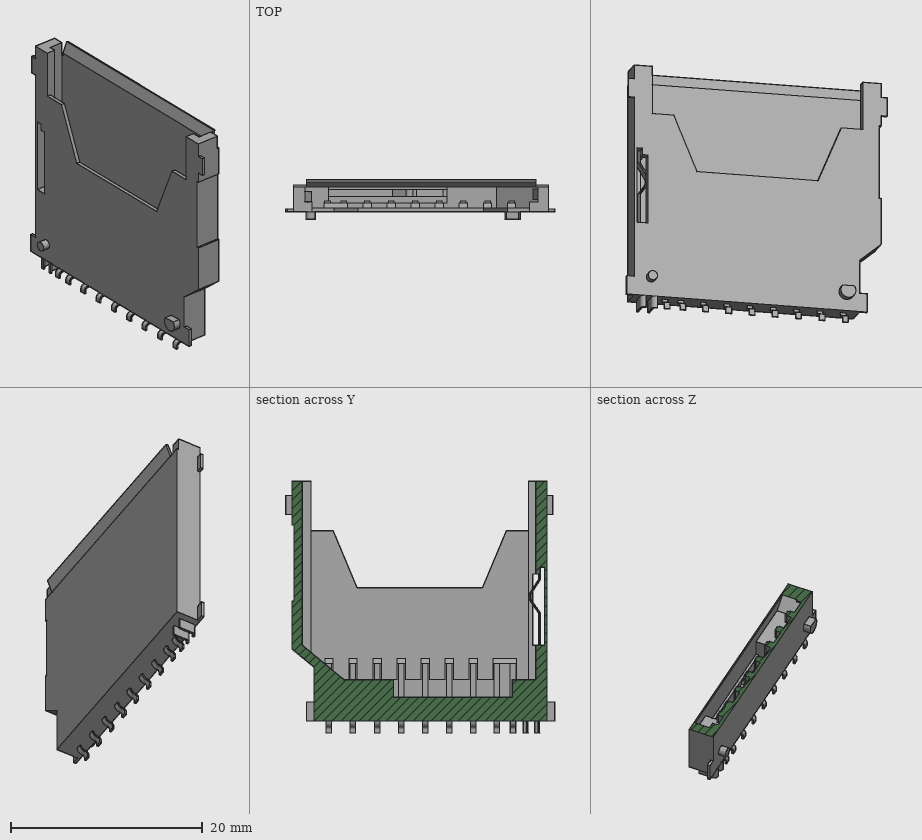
import cadquery as cq


HEIGHT = 25.0
WIDTH = 26.6
HOUSING_DEPTH = 2.6
LID_THICKNESS = 0.2
LID_TOP = 23.5
DEPTH = HOUSING_DEPTH + LID_THICKNESS
LOWER_WIDTH = 24.3
CORNER_BOTTOM = 5.6
CORNER_TOP = 7.5
SIDE_NOTCH_DEPTH = 0.2
SIDE_NOTCH_BOTTOM = 12.5
SIDE_NOTCH_TOP = 20.4

TAB_THICKNESS = 0.3
TAB_HEIGHT = 2.0
UPPER_TAB_BOTTOM = 21.5
LOWER_TAB_LEFT = -0.8
LOWER_TAB_RIGHT = 25.1
UPPER_TAB_LEFT = -0.6
UPPER_TAB_RIGHT = 27.25

FLOOR = 0.4
RAIL_TOP = 1.0
CAVITY_LEFT = 1.2
CAVITY_RIGHT = 25.5
RAIL_LEFT = 1.95
RAIL_RIGHT = 24.6
CAVITY_BOTTOM = 4.3
CAVITY_CORNER_LEFT = 21.15
CORNER_SLOPE = (CORNER_TOP - CORNER_BOTTOM) / (WIDTH - LOWER_WIDTH)

WINDOW_SHOULDER = 19.85
WINDOW_BOTTOM = 13.9
WINDOW_CENTER = (RAIL_LEFT + RAIL_RIGHT) / 2
WINDOW_UPPER_WIDTH = 18.05
WINDOW_LOWER_WIDTH = 13.05

LIP_LEFT = 1.35
LIP_RIGHT = 25.3
LIP_INNER_START = 23.8
LIP_INNER_END = 3.1
LIP_OUTER_END = 3.35
LIP_OUTER_TOP = 24.9

SLOT_LEFT = 0.3
SLOT_RIGHT = 1.5
SLOT_STEP_X = 0.9
SLOT_BOTTOM = 7.9
SLOT_STEP_Z = 15.3
SLOT_TOP = 16.0
SLOT_DEPTH = 2.1
SPRING_DEPTH = 1.05
SPRING_THICKNESS = 0.2
SPRING_BACK = SLOT_STEP_X - SPRING_THICKNESS
SPRING_CREST = 1.9
SPRING_CREST_BOTTOM = 12.7
SPRING_CREST_TOP = 13.2
SPRING_BEND_BOTTOM = 11.25
SPRING_BEND_TOP = 14.75

DETECT_CREST = 24.95
DETECT_NEAR = 1.3
DETECT_FAR = 2.35
DETECT_BOTTOM = 14.0
DETECT_CREST_Z = 16.0
DETECT_TOP = 18.0

RECESS_LEFT = 3.65
RECESS_RIGHT = 16.0
RECESS_NEAR = 0.9
RECESS_BOTTOM = 2.5
GROOVE_NEAR = 1.6
GROOVE_FAR = 2.3
GROOVE_BOTTOM = 1.0
RIDGE_FOOT_LEFT = 10.35
RIDGE_ARC_LEFT = 11.75
RIDGE_ARC_RIGHT = 12.45
RIDGE_FLAT_RIGHT = 12.85
RIDGE_FOOT_RIGHT = 15.6
RIDGE_SHOULDER = 2.0
RIDGE_CREST = 2.2

CONTACT_CENTERS = (3.55, 5.25, 7.7, 10.2, 12.7, 15.2, 17.7, 20.25, 22.75)
CONTACT_WIDTH = 0.6
RAMP_WIDTH = 0.85
WIDE_RAMP_LEFT = 3.2
WIDE_RAMP_RIGHT = 5.65
RAMP_FRONT = 6.5
RAMP_BACK = 6.0
RAMP_TOP = 0.9
CONTACT_TOP = 1.1
TAIL_THICKNESS = 0.2
TAIL_END = -1.25
TAIL_BEND_RADIUS = 0.45
TAIL_FOOT_TOP = -2 * TAIL_BEND_RADIUS

TERMINAL_LEFTS = (0.75, 1.95)
TERMINAL_WIDTH = 0.55
TERMINAL_DEPTH = 2.0
TERMINAL_RADIUS = 0.4
TERMINAL_THICKNESS = 0.2

PEG_LENGTH = 0.8
PEG_Z = 2.0
ROUND_PEG_X = 1.8
ROUND_PEG_RADIUS = 0.5
FLAT_PEG_X = 22.85
FLAT_PEG_RADIUS = 0.8
FLAT_PEG_TOP = 2.5


def block(x0, x1, y0, y1, z0, z1):
    return cq.Workplane("XY").box(x1 - x0, y1 - y0, z1 - z0, centered=False).translate((x0, y0, z0))


def extrude_along_y(profile, y0, y1):
    """Extrude a closed XZ-plane profile from y0 to y1."""
    return profile.extrude(-(y1 - y0)).translate((0, y0, 0))


def prism_y(points, y0, y1):
    return extrude_along_y(cq.Workplane("XZ").polyline(points).close(), y0, y1)


def prism_x(points, x0, x1):
    """Extrude a closed polygon of (y, z) points from x0 to x1."""
    return cq.Workplane("YZ").polyline(points).close().extrude(x1 - x0).translate((x0, 0, 0))


def make_shell():
    outline = [
        (0, 0),
        (LOWER_WIDTH, 0),
        (LOWER_WIDTH, CORNER_BOTTOM),
        (WIDTH, CORNER_TOP),
        (WIDTH, HEIGHT),
        (0, HEIGHT),
    ]
    shell = prism_y(outline, 0, DEPTH)
    shell = shell.cut(block(0, WIDTH, HOUSING_DEPTH, DEPTH, LID_TOP, HEIGHT))
    notch_left = WIDTH - SIDE_NOTCH_DEPTH
    return shell.cut(block(notch_left, WIDTH, 0, DEPTH, SIDE_NOTCH_BOTTOM, SIDE_NOTCH_TOP))


def cavity_layer(left, right, y0, y1):
    """Slice of the card cavity; the sloped end follows the cut-off card corner."""
    corner_z = CAVITY_BOTTOM + CORNER_SLOPE * (right - CAVITY_CORNER_LEFT)
    outline = [
        (left, CAVITY_BOTTOM),
        (CAVITY_CORNER_LEFT, CAVITY_BOTTOM),
        (right, corner_z),
        (right, HEIGHT),
        (left, HEIGHT),
    ]
    return prism_y(outline, y0, y1)


def make_cavity():
    lower = cavity_layer(RAIL_LEFT, RAIL_RIGHT, FLOOR, RAIL_TOP)
    upper = cavity_layer(CAVITY_LEFT, CAVITY_RIGHT, RAIL_TOP, HOUSING_DEPTH)
    return lower.union(upper)


def make_window():
    upper_half = WINDOW_UPPER_WIDTH / 2
    lower_half = WINDOW_LOWER_WIDTH / 2
    outline = [
        (RAIL_LEFT, HEIGHT),
        (RAIL_LEFT, WINDOW_SHOULDER),
        (WINDOW_CENTER - upper_half, WINDOW_SHOULDER),
        (WINDOW_CENTER - lower_half, WINDOW_BOTTOM),
        (WINDOW_CENTER + lower_half, WINDOW_BOTTOM),
        (WINDOW_CENTER + upper_half, WINDOW_SHOULDER),
        (RAIL_RIGHT, WINDOW_SHOULDER),
        (RAIL_RIGHT, HEIGHT),
    ]
    return prism_y(outline, 0, FLOOR)


def make_latch_slot():
    wide = block(SLOT_LEFT, SLOT_RIGHT, 0, SLOT_DEPTH, SLOT_BOTTOM, SLOT_STEP_Z)
    narrow = block(SLOT_LEFT, SLOT_STEP_X, 0, SLOT_DEPTH, SLOT_STEP_Z, SLOT_TOP)
    return wide.union(narrow)


def make_latch_spring():
    back = [
        (SPRING_BACK, SLOT_BOTTOM),
        (SPRING_BACK, SPRING_BEND_BOTTOM),
        (SPRING_CREST - SPRING_THICKNESS, SPRING_CREST_BOTTOM),
        (SPRING_CREST - SPRING_THICKNESS, SPRING_CREST_TOP),
        (SPRING_BACK, SPRING_BEND_TOP),
        (SPRING_BACK, SLOT_TOP),
    ]
    front = [(x + SPRING_THICKNESS, z) for x, z in reversed(back)]
    return prism_y(back + front, SPRING_DEPTH, SLOT_DEPTH)


def make_detect_spring():
    outline = [
        (CAVITY_RIGHT, DETECT_BOTTOM),
        (DETECT_CREST, DETECT_CREST_Z),
        (CAVITY_RIGHT, DETECT_TOP),
    ]
    return prism_y(outline, DETECT_NEAR, DETECT_FAR)


def make_end_recess():
    recess = block(RECESS_LEFT, RECESS_RIGHT, RECESS_NEAR, HOUSING_DEPTH, RECESS_BOTTOM, CAVITY_BOTTOM)
    groove = block(RECESS_LEFT, RECESS_RIGHT, GROOVE_NEAR, GROOVE_FAR, GROOVE_BOTTOM, RECESS_BOTTOM)
    return recess.union(groove)


def make_groove_ridge():
    arc_middle = (RIDGE_ARC_LEFT + RIDGE_ARC_RIGHT) / 2
    outline = (
        cq.Workplane("XZ")
        .moveTo(RIDGE_FOOT_LEFT, GROOVE_BOTTOM)
        .lineTo(RIDGE_ARC_LEFT, RIDGE_SHOULDER)
        .threePointArc((arc_middle, RIDGE_CREST), (RIDGE_ARC_RIGHT, RIDGE_SHOULDER))
        .lineTo(RIDGE_FLAT_RIGHT, RIDGE_SHOULDER)
        .lineTo(RIDGE_FOOT_RIGHT, GROOVE_BOTTOM)
        .close()
    )
    return extrude_along_y(outline, GROOVE_NEAR, GROOVE_FAR)


def make_tabs():
    upper_top = UPPER_TAB_BOTTOM + TAB_HEIGHT
    notch_left = WIDTH - SIDE_NOTCH_DEPTH
    upper_left = block(UPPER_TAB_LEFT, 0, 0, TAB_THICKNESS, UPPER_TAB_BOTTOM, upper_top)
    upper_right = block(notch_left, UPPER_TAB_RIGHT, 0, TAB_THICKNESS, UPPER_TAB_BOTTOM, upper_top)
    lower_left = block(LOWER_TAB_LEFT, 0, 0, TAB_THICKNESS, 0, TAB_HEIGHT)
    lower_right = block(LOWER_WIDTH, LOWER_TAB_RIGHT, 0, TAB_THICKNESS, 0, TAB_HEIGHT)
    return upper_left.union(upper_right).union(lower_left).union(lower_right)


def make_lip():
    section = [
        (HOUSING_DEPTH, LID_TOP),
        (HOUSING_DEPTH, LIP_INNER_START),
        (LIP_INNER_END, HEIGHT),
        (LIP_OUTER_END, LIP_OUTER_TOP),
        (DEPTH, LID_TOP),
    ]
    return prism_x(section, LIP_LEFT, LIP_RIGHT)


def make_ramp(left, right):
    """Wedge that rises from the cavity floor toward the end wall."""
    section = [
        (FLOOR, RAMP_FRONT),
        (RAMP_TOP, RAMP_BACK),
        (RAMP_TOP, RECESS_BOTTOM),
        (FLOOR, RECESS_BOTTOM),
    ]
    return prism_x(section, left, right)


def make_contact_blade(center):
    half = CONTACT_WIDTH / 2
    return block(center - half, center + half, FLOOR, CONTACT_TOP, RECESS_BOTTOM, RAMP_BACK)


def make_contact_tail(center):
    """Solder tail: an S-bend of two quarter turns that ends in a flat foot on the mounting plane."""
    bend_y = TAIL_BEND_RADIUS
    bend_z = TAIL_FOOT_TOP + TAIL_BEND_RADIUS
    inner_radius = TAIL_BEND_RADIUS - TAIL_THICKNESS
    outer_radius = TAIL_BEND_RADIUS + TAIL_THICKNESS
    root_front = bend_y + TAIL_BEND_RADIUS
    tail = (
        cq.Workplane("YZ")
        .moveTo(0, TAIL_END)
        .lineTo(0, TAIL_FOOT_TOP)
        .radiusArc((bend_y, bend_z), TAIL_BEND_RADIUS)
        .radiusArc((root_front, 0), -TAIL_BEND_RADIUS)
        .lineTo(root_front + TAIL_THICKNESS, 0)
        .radiusArc((bend_y, bend_z - TAIL_THICKNESS), outer_radius)
        .radiusArc((TAIL_THICKNESS, TAIL_FOOT_TOP), -inner_radius)
        .lineTo(TAIL_THICKNESS, TAIL_END)
        .close()
        .extrude(CONTACT_WIDTH)
    )
    return tail.translate((center - CONTACT_WIDTH / 2, 0, 0))


def make_terminal(left):
    right = left + TERMINAL_WIDTH
    inner_radius = TERMINAL_RADIUS - TERMINAL_THICKNESS
    corner_x = left + TERMINAL_RADIUS
    return (
        cq.Workplane("XY")
        .moveTo(left, TERMINAL_DEPTH)
        .lineTo(left, TERMINAL_RADIUS)
        .radiusArc((corner_x, 0), -TERMINAL_RADIUS)
        .lineTo(right, 0)
        .lineTo(right, TERMINAL_THICKNESS)
        .lineTo(corner_x, TERMINAL_THICKNESS)
        .radiusArc((left + TERMINAL_THICKNESS, TERMINAL_RADIUS), inner_radius)
        .lineTo(left + TERMINAL_THICKNESS, TERMINAL_DEPTH)
        .close()
        .extrude(TAIL_END)
    )


def make_peg(x, radius):
    return extrude_along_y(cq.Workplane("XZ").center(x, PEG_Z).circle(radius), -PEG_LENGTH, 0)


def make_flat_peg():
    peg = make_peg(FLAT_PEG_X, FLAT_PEG_RADIUS)
    left = FLAT_PEG_X - FLAT_PEG_RADIUS
    right = FLAT_PEG_X + FLAT_PEG_RADIUS
    return peg.cut(block(left, right, -PEG_LENGTH, 0, FLAT_PEG_TOP, PEG_Z + FLAT_PEG_RADIUS))


result = make_shell()
for pocket in (make_cavity(), make_window(), make_latch_slot(), make_end_recess()):
    result = result.cut(pocket)

added_parts = [
    make_latch_spring(),
    make_detect_spring(),
    make_groove_ridge(),
    make_tabs(),
    make_lip(),
    make_peg(ROUND_PEG_X, ROUND_PEG_RADIUS),
    make_flat_peg(),
    make_ramp(WIDE_RAMP_LEFT, WIDE_RAMP_RIGHT),
]
for contact_x in CONTACT_CENTERS:
    added_parts.append(make_contact_blade(contact_x))
    added_parts.append(make_contact_tail(contact_x))
    if contact_x > WIDE_RAMP_RIGHT:
        added_parts.append(make_ramp(contact_x - RAMP_WIDTH / 2, contact_x + RAMP_WIDTH / 2))
for terminal_left in TERMINAL_LEFTS:
    added_parts.append(make_terminal(terminal_left))

for added in added_parts:
    result = result.union(added)